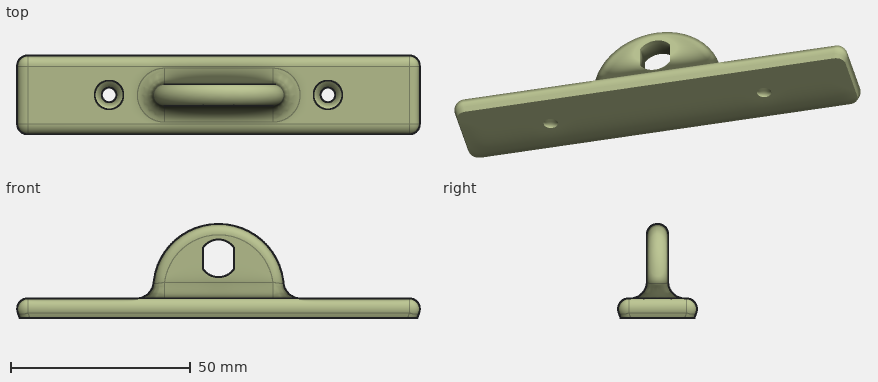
import cadquery as cq
import math

base_length = 112.0
base_width = 22.0
base_height = 5.5
edge_radius = 3.0
wall_draft = 20.0

eye_thickness = 6.0
eye_radius = 18.2
total_height = 26.2
rim_radius = eye_thickness / 2
flat_radius = eye_radius - rim_radius
arch_height = total_height - eye_radius
root_radius = 4.5
selection_margin = 0.1

opening_diameter = 10.4
opening_width = 8.5
opening_center_height = 16.6

screw_diameter = 4.0
countersink_diameter = 8.0
countersink_angle = 90.0
screw_spacing = 60.8


def make_base():
    """Drafted bar whose rounded edge reaches exactly base_length by base_width."""
    draft = math.radians(wall_draft)
    widest_height = base_height - edge_radius
    middle_excess = edge_radius / math.cos(draft) - edge_radius
    bottom_excess = middle_excess - widest_height * math.tan(draft)
    top_excess = middle_excess + edge_radius * math.tan(draft)
    return (
        cq.Workplane("XY")
        .rect(base_length + 2 * bottom_excess, base_width + 2 * bottom_excess)
        .workplane(offset=base_height)
        .rect(base_length + 2 * top_excess, base_width + 2 * top_excess)
        .loft(ruled=True)
        .edges("not <Z")
        .fillet(edge_radius)
    )


def arch_line(y):
    """Centre line of the rim: up, over a half circle and down, in the plane at y."""
    return (
        cq.Workplane("XZ", origin=(0, y, 0))
        .moveTo(-flat_radius, 0)
        .lineTo(-flat_radius, arch_height)
        .threePointArc((0, arch_height + flat_radius), (flat_radius, arch_height))
        .lineTo(flat_radius, 0)
    )


def make_eye():
    """Half-round plate whose rim is a round bar running straight down into the base."""
    plate = arch_line(eye_thickness / 2).close().extrude(eye_thickness)
    rim_section = cq.Workplane("XY", origin=(-flat_radius, 0, 0)).circle(rim_radius)
    rim = rim_section.sweep(arch_line(0))
    return plate.union(rim)


def fillet_root(body):
    """Blend the foot of the eye into the top of the base."""
    foot_edges = cq.selectors.BoxSelector(
        (-eye_radius, -eye_thickness, base_height - selection_margin),
        (eye_radius, eye_thickness, base_height + selection_margin),
    )
    return body.edges(foot_edges).fillet(root_radius)


def make_opening():
    """Round cutter with its two sides trimmed flat."""
    cylinder = (
        cq.Workplane("XZ", origin=(0, eye_thickness, opening_center_height))
        .circle(opening_diameter / 2)
        .extrude(2 * eye_thickness)
    )
    side_limits = cq.Workplane("XY", origin=(0, 0, opening_center_height)).box(
        opening_width, 2 * eye_thickness, opening_diameter
    )
    return cylinder.intersect(side_limits)


def drill_screw_holes(body):
    """Countersunk through holes, one on each side of the eye."""
    return (
        body.copyWorkplane(cq.Workplane("XY", origin=(0, 0, base_height)))
        .pushPoints([(-screw_spacing / 2, 0), (screw_spacing / 2, 0)])
        .cskHole(screw_diameter, countersink_diameter, countersink_angle, depth=base_height)
    )


body = make_base().union(make_eye())
body = fillet_root(body)
body = body.cut(make_opening())
result = drill_screw_holes(body)